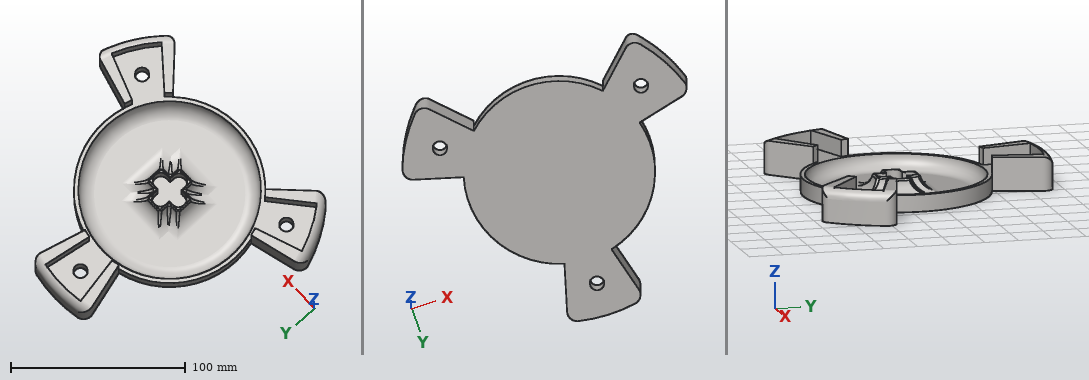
import cadquery as cq
import math

DISH_RADIUS = 55.0
DISH_HEIGHT = 10.0
RIM_WIDTH = 2.5
FLOOR_THICKNESS = 1.0
BOWL_DEPTH = DISH_HEIGHT - FLOOR_THICKNESS
BOWL_RADIUS = DISH_RADIUS - RIM_WIDTH
FLOOR_RADIUS = BOWL_RADIUS - BOWL_DEPTH

LUG_ANGLES = (90, 210, 330)
LUG_RADIUS = 90.0
LUG_HEIGHT = 20.0
LUG_HALF_ANGLE = 15
LUG_FILLET = 6.0
POCKET_RADIUS = 85.0
POCKET_HALF_ANGLE = 10
HOLE_DIAMETER = 8.2
HOLE_RADIAL_POSITION = 70.0

SOCKET_HALF_LENGTH = 12.1
SOCKET_HALF_WIDTH = 4.8
SOCKET_CHAMFER = 1.0
OUTER_CORNER_BEVEL = 1.0
INNER_CORNER_FILL = 1.2

FLARE_RADIUS = 10.0
FLARE_HEIGHT = BOWL_DEPTH - SOCKET_CHAMFER
FLARE_ANGLE = math.acos(1 - FLARE_HEIGHT / FLARE_RADIUS)
FLARE_WIDTH = FLARE_RADIUS * math.sin(FLARE_ANGLE)

ARM_TURNS = (0, 90)
DIAGONAL_TURNS = (45, 135)


def turned(shape, angle):
    return shape.rotate((0, 0, 0), (0, 0, 1), angle)


def sector(radius, half_angle, height):
    """Pie slice centred on +X with its tip on the Z axis."""
    angle = math.radians(half_angle)
    x_end = radius * math.cos(angle)
    y_end = radius * math.sin(angle)
    return (
        cq.Workplane("XY")
        .lineTo(x_end, -y_end)
        .threePointArc((radius, 0), (x_end, y_end))
        .close()
        .extrude(height)
    )


def make_dish():
    """Flat disc with a bowl whose side curves up to the rim."""
    arc_offset = BOWL_DEPTH * math.sqrt(0.5)
    return (
        cq.Workplane("XZ")
        .lineTo(DISH_RADIUS, 0)
        .lineTo(DISH_RADIUS, DISH_HEIGHT)
        .lineTo(BOWL_RADIUS, DISH_HEIGHT)
        .threePointArc(
            (FLOOR_RADIUS + arc_offset, DISH_HEIGHT - arc_offset),
            (FLOOR_RADIUS, FLOOR_THICKNESS),
        )
        .lineTo(0, FLOOR_THICKNESS)
        .close()
        .revolve(360, (0, 0, 0), (0, 1, 0))
    )


def make_lug():
    """Lug along +X: a rounded sector, hollowed to the rim height and open towards the dish."""
    lug = sector(LUG_RADIUS, LUG_HALF_ANGLE, LUG_HEIGHT)
    outer_corners = lug.edges("|Z").edges(">X")
    outer_top_edge = lug.edges("%CIRCLE").edges(">Z")
    lug = outer_corners.add(outer_top_edge).fillet(LUG_FILLET)
    inside_dish = cq.Workplane("XY").circle(DISH_RADIUS - RIM_WIDTH / 2).extrude(DISH_HEIGHT)
    above_dish = (
        cq.Workplane("XY", origin=(0, 0, DISH_HEIGHT)).circle(DISH_RADIUS).extrude(LUG_HEIGHT)
    )
    pocket = sector(POCKET_RADIUS, POCKET_HALF_ANGLE, LUG_HEIGHT).translate((0, 0, DISH_HEIGHT))
    hole = (
        cq.Workplane("XY")
        .center(HOLE_RADIAL_POSITION, 0)
        .circle(HOLE_DIAMETER / 2)
        .extrude(LUG_HEIGHT)
    )
    return lug.cut(inside_dish).cut(above_dish).cut(pocket).cut(hole)


def flared_ridge(rim, shoulder, foot, half_thickness):
    """Ridge along Y, symmetric about YZ: a chamfer from rim to shoulder over a concave elliptic flare."""
    half_ridge = (
        cq.Workplane("XZ", origin=(0, half_thickness, 0))
        .lineTo(0, DISH_HEIGHT)
        .lineTo(rim, DISH_HEIGHT)
        .lineTo(shoulder, FLOOR_THICKNESS + FLARE_HEIGHT)
        .ellipseArc(
            (foot - shoulder) / math.sin(FLARE_ANGLE),
            FLARE_RADIUS,
            270 - math.degrees(FLARE_ANGLE),
            270,
        )
        .lineTo(foot, 0)
        .close()
        .extrude(2 * half_thickness)
    )
    return half_ridge.union(half_ridge.mirror("YZ"))


def straight_ridge(rim):
    """Ridge with the plain flank of the socket, whose flare is circular."""
    shoulder = rim + SOCKET_CHAMFER
    return flared_ridge(rim, shoulder, shoulder + FLARE_WIDTH, BOWL_RADIUS)


def corner_ridge(half_x, half_y, growth, half_thickness):
    """Ridge along the corner of two flanks, moved out by growth at the shoulder, fading to the foot."""
    rim = (half_x + half_y) / math.sqrt(2)
    shoulder = rim + SOCKET_CHAMFER * math.sqrt(2)
    foot = shoulder + FLARE_WIDTH * math.sqrt(2)
    return flared_ridge(rim, shoulder + growth, foot, half_thickness)


def make_socket_arm():
    """One flared bar of the cross, along X, with bevelled corners that fade out at the foot."""
    arm = straight_ridge(SOCKET_HALF_LENGTH)
    arm = arm.intersect(turned(straight_ridge(SOCKET_HALF_WIDTH), 90))
    bevel = corner_ridge(SOCKET_HALF_LENGTH, SOCKET_HALF_WIDTH, -OUTER_CORNER_BEVEL, BOWL_RADIUS)
    for turn in DIAGONAL_TURNS:
        arm = arm.intersect(turned(bevel, turn))
    return arm


def make_socket_recess():
    """Round-ended slot along X, reaching down to the dish floor."""
    return (
        cq.Workplane("XY", origin=(0, 0, FLOOR_THICKNESS))
        .slot2D(2 * SOCKET_HALF_LENGTH, 2 * SOCKET_HALF_WIDTH)
        .extrude(DISH_HEIGHT)
    )


result = make_dish()

for lug_angle in LUG_ANGLES:
    result = result.union(turned(make_lug(), lug_angle))

for arm_turn in ARM_TURNS:
    result = result.union(turned(make_socket_arm(), arm_turn))

web = corner_ridge(SOCKET_HALF_WIDTH, SOCKET_HALF_WIDTH, INNER_CORNER_FILL, INNER_CORNER_FILL)
for web_turn in DIAGONAL_TURNS:
    result = result.union(turned(web, web_turn))

for arm_turn in ARM_TURNS:
    result = result.cut(turned(make_socket_recess(), arm_turn))